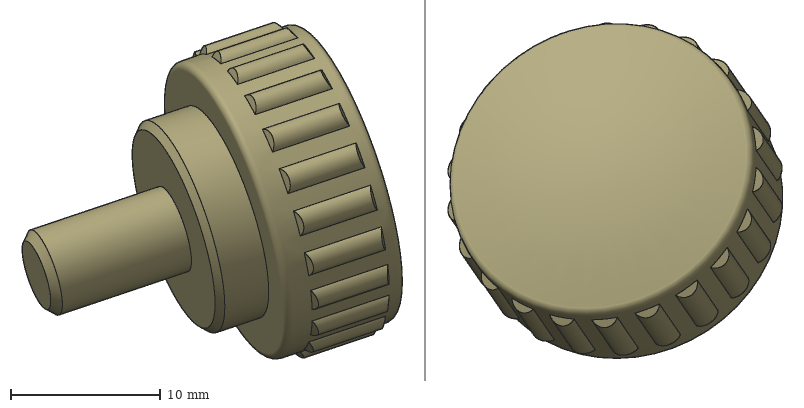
import cadquery as cq
import math

total_length = 23.7

stud_radius = 3.0
stud_length = 10.0
stud_chamfer = 0.6
hub_radius = 7.5
hub_chamfer = 0.5
head_radius = 10.5
head_height = 10.0
hub_length = total_length - stud_length - head_height
edge_fillet = 0.5

rim_height = 8.6
rim_radius = 10.07
rim_fillet_start = 8.1

rib_count = 22
rib_radius = 1.0
rib_center_radius = 10.0
rib_start = 1.87
rib_end = 7.5
rib_end_slope = 0.28
rib_tip_radius = rib_center_radius + rib_radius


def revolve_about_y(profile):
    return profile.close().revolve(360, (0, 0, 0), (0, 1, 0))


def make_knob_body():
    hub_y = -hub_length
    tip_y = hub_y - stud_length
    corner_inset = edge_fillet * (1 - math.sqrt(0.5))
    rim_mid_radius = head_radius - (head_radius - rim_radius) * (1 - math.sqrt(0.5))
    rim_mid_y = rim_fillet_start + (rim_height - rim_fillet_start) * math.sqrt(0.5)
    dome_rise = head_height - rim_height
    dome_radius = (rim_radius**2 + dome_rise**2) / (2 * dome_rise)
    dome_mid_x = rim_radius / 2
    dome_mid_y = head_height - dome_radius + math.sqrt(dome_radius**2 - dome_mid_x**2)
    profile = (
        cq.Workplane("XY")
        .moveTo(0, tip_y)
        .lineTo(stud_radius - stud_chamfer, tip_y)
        .lineTo(stud_radius, tip_y + stud_chamfer)
        .lineTo(stud_radius, hub_y)
        .lineTo(hub_radius - hub_chamfer, hub_y)
        .lineTo(hub_radius, hub_y + hub_chamfer)
        .lineTo(hub_radius, 0)
        .lineTo(head_radius - edge_fillet, 0)
        .threePointArc((head_radius - corner_inset, corner_inset), (head_radius, edge_fillet))
        .lineTo(head_radius, rim_fillet_start)
        .threePointArc((rim_mid_radius, rim_mid_y), (rim_radius, rim_height))
        .threePointArc((dome_mid_x, dome_mid_y), (0, head_height))
    )
    return revolve_about_y(profile)


def make_ribs():
    places = []
    for index in range(rib_count):
        angle = 2 * math.pi * index / rib_count
        places.append((rib_center_radius * math.sin(angle), rib_center_radius * math.cos(angle)))
    bars = (
        cq.Workplane("XZ", origin=(0, rib_end, 0))
        .pushPoints(places)
        .circle(rib_radius)
        .extrude(rib_end - rib_start)
    )
    envelope = revolve_about_y(
        cq.Workplane("XY")
        .moveTo(0, rib_start)
        .lineTo(head_radius, rib_start)
        .lineTo(rib_tip_radius, rib_start + rib_end_slope)
        .lineTo(rib_tip_radius, rib_end - rib_end_slope)
        .lineTo(head_radius, rib_end)
        .lineTo(0, rib_end)
    )
    return bars.intersect(envelope)


result = make_knob_body().union(make_ribs())